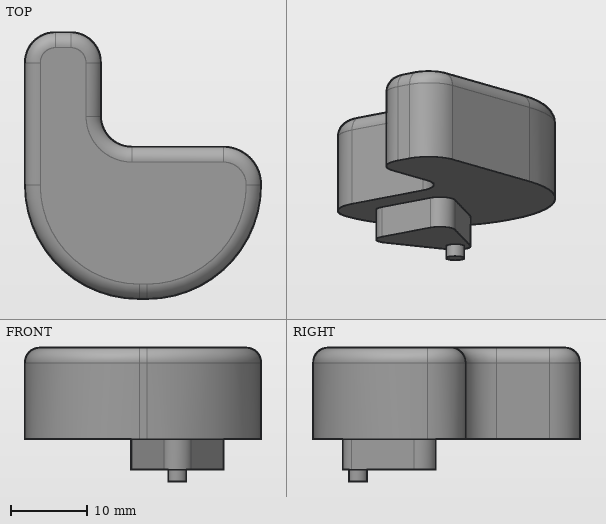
import cadquery as cq
import math

body_length = 31.0
body_height = 12.0
arm_width = 10.0
arm_end_y = 20.0
arm_corner_radius = 4.0
inner_corner_radius = 4.0
palm_radius = 15.0
palm_corner_radius = 5.0
top_fillet_radius = 2.0

boss_center_x = 20.0
boss_center_y = -5.0
boss_corner_offset = 4.1
boss_corner_radius = 2.0
boss_height = 4.0

pin_diameter = 2.4
pin_length = 1.6


def arc_to(sketch, center, radius, mid_angle, end_angle):
    """Continue the outline along a circular arc, angles in degrees from +X."""
    points = []
    for angle in (mid_angle, end_angle):
        turn = math.radians(angle)
        points.append((center[0] + radius * math.cos(turn), center[1] + radius * math.sin(turn)))
    return sketch.threePointArc(*points)


def make_body():
    palm_top_y = palm_corner_radius
    arm_corner_y = arm_end_y - arm_corner_radius
    arm_right_corner_x = arm_width - arm_corner_radius
    palm_corner_x = body_length - palm_corner_radius
    inner_center = (arm_width + inner_corner_radius, palm_top_y + inner_corner_radius)

    outline = cq.Workplane("XY").moveTo(0, 0)
    outline = arc_to(outline, (palm_radius, 0), palm_radius, 225, 270)
    outline = outline.lineTo(body_length - palm_radius, -palm_radius)
    outline = arc_to(outline, (body_length - palm_radius, 0), palm_radius, 315, 360)
    outline = arc_to(outline, (palm_corner_x, 0), palm_corner_radius, 45, 90)
    outline = outline.lineTo(inner_center[0], palm_top_y)
    outline = arc_to(outline, inner_center, inner_corner_radius, 225, 180)
    outline = outline.lineTo(arm_width, arm_corner_y)
    outline = arc_to(outline, (arm_right_corner_x, arm_corner_y), arm_corner_radius, 45, 90)
    outline = outline.lineTo(arm_corner_radius, arm_end_y)
    outline = arc_to(outline, (arm_corner_radius, arm_corner_y), arm_corner_radius, 135, 180)
    body = outline.close().extrude(body_height)
    return body.faces(">Z").edges().fillet(top_fillet_radius)


def make_boss():
    corner_centers = [
        (boss_center_x - boss_corner_offset, boss_center_y + boss_corner_offset),
        (boss_center_x, boss_center_y - boss_corner_offset),
        (boss_center_x + boss_corner_offset, boss_center_y + boss_corner_offset),
    ]
    triangle = cq.Workplane("XY").polyline(corner_centers).close()
    return triangle.offset2D(boss_corner_radius, "arc").extrude(-boss_height)


def make_pin():
    pin = cq.Workplane("XY").workplane(offset=-boss_height)
    pin = pin.center(boss_center_x, boss_center_y - boss_corner_offset)
    return pin.circle(pin_diameter / 2).extrude(-pin_length)


result = make_body().union(make_boss()).union(make_pin())